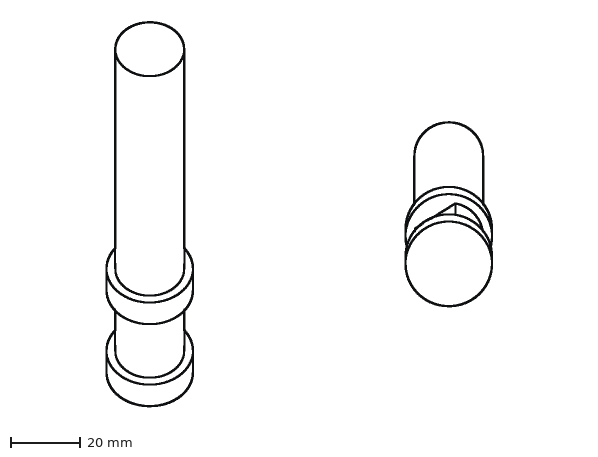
import cadquery as cq

length = 150.0
shaft_diameter = 20.0
collar_diameter = 25.0

collar_height = 10.0
upper_collar_base = 38.1

flat_base = 20.1
flat_distance = 7.2
flat_direction = 164.5


def cylinder(diameter, height, base):
    """Upright cylinder on the pin axis."""
    return cq.Workplane("XY", origin=(0, 0, base)).circle(diameter / 2).extrude(height)


def flat_cutter():
    """Block that removes everything on the neck beyond the flat."""
    block = cq.Workplane("XY").box(
        collar_diameter,
        collar_diameter,
        upper_collar_base - flat_base,
        centered=(False, True, False),
    )
    block = block.translate((flat_distance, 0, flat_base))
    return block.rotate((0, 0, 0), (0, 0, 1), flat_direction)


shaft = cylinder(shaft_diameter, length, 0).cut(flat_cutter())

result = shaft
for collar_base in (0, upper_collar_base):
    result = result.union(cylinder(collar_diameter, collar_height, collar_base))